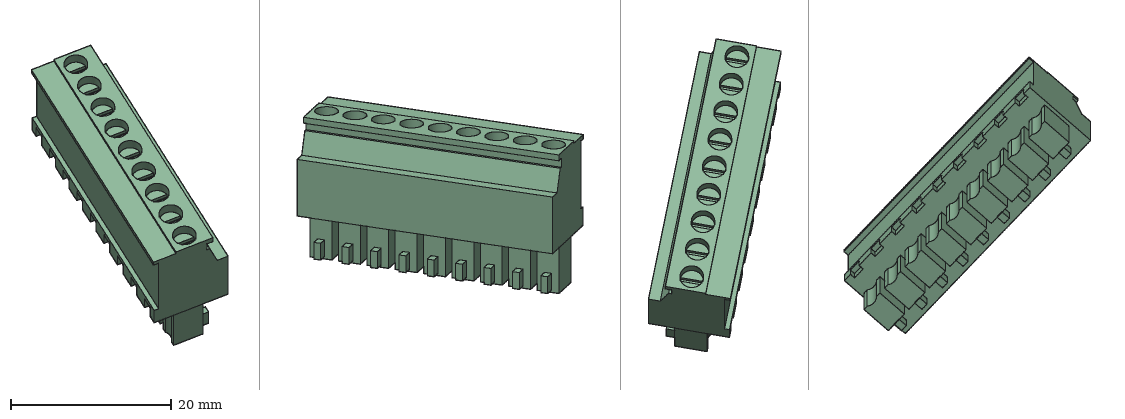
import cadquery as cq

POLE_COUNT = 9
LENGTH = 34.3
PITCH = LENGTH / POLE_COUNT
HEIGHT = 19.1
DEPTH = 10.4
HOUSING_BOTTOM_Z = 6.62

FRONT_WALL_Y = 0.72
BASE_FRONT_Y = 0.1
BASE_TOP_Z = 9.1
FRONT_LIP_BOTTOM_Z = 18.2
FRONT_LIP_TOP_Z = 18.8
TOP_STEP_Y = 3.12
REAR_LIP_Y = 8.25
REAR_LIP_BOTTOM_Z = 18.3
NECK_Y = 7.45
SLOPE_TOP_Y = 7.82
SLOPE_TOP_Z = 17.15
SLOPE_BOTTOM_Y = 8.88
REAR_LEDGE_Z = 14.23

NOTCH_WIDTH = 1.58
NOTCH_HEIGHT = 1.75
NOTCH_DEPTH = 0.7

PLUG_WIDTH = 2.95
PLUG_FRONT_Y = 3.02
PLUG_REAR_Y = 7.13
GROOVE_WIDTH = 1.75
GROOVE_DEPTH = 0.3
KEY_WIDTH = 0.93
KEY_REAR_Y = 8.4
KEY_BOTTOM_Z = 0.3
KEY_TOP_Z = 2.57

SCREW_DIAMETER = 2.95
SCREW_Y = 5.25
SCREW_RECESS = 1.45
SCREW_LENGTH = 2.05
SCREW_SLOT_WIDTH = 0.48
SCREW_SLOT_DEPTH = 0.5

POLE_XS = [(i - (POLE_COUNT - 1) / 2) * PITCH for i in range(POLE_COUNT)]
SCREW_TOP_Z = HEIGHT - SCREW_RECESS
SCREW_BOTTOM_Z = SCREW_TOP_Z - SCREW_LENGTH


def block(x, width, y_range, z_range):
    """Box centred on x along X and spanning the given Y and Z ranges."""
    y0, y1 = y_range
    z0, z1 = z_range
    box = cq.Workplane("XY").box(width, y1 - y0, z1 - z0, centered=(True, False, False))
    return box.translate((x, y0, z0))


def housing_shell():
    """Stepped side profile swept over the full length."""
    profile = [
        (BASE_FRONT_Y, HOUSING_BOTTOM_Z),
        (BASE_FRONT_Y, BASE_TOP_Z),
        (FRONT_WALL_Y, BASE_TOP_Z),
        (FRONT_WALL_Y, FRONT_LIP_BOTTOM_Z),
        (0, FRONT_LIP_BOTTOM_Z),
        (0, FRONT_LIP_TOP_Z),
        (TOP_STEP_Y, FRONT_LIP_TOP_Z),
        (TOP_STEP_Y, HEIGHT),
        (REAR_LIP_Y, HEIGHT),
        (REAR_LIP_Y, REAR_LIP_BOTTOM_Z),
        (NECK_Y, REAR_LIP_BOTTOM_Z),
        (NECK_Y, SLOPE_TOP_Z),
        (SLOPE_TOP_Y, SLOPE_TOP_Z),
        (SLOPE_BOTTOM_Y, REAR_LEDGE_Z),
        (DEPTH, REAR_LEDGE_Z),
        (DEPTH, HOUSING_BOTTOM_Z),
    ]
    return cq.Workplane("YZ").polyline(profile).close().extrude(LENGTH / 2, both=True)


def plug(x):
    """Plug with a shallow round groove down its front and a key on its back."""
    half_groove = GROOVE_WIDTH / 2
    body = (
        cq.Workplane("XY")
        .moveTo(x - PLUG_WIDTH / 2, PLUG_FRONT_Y)
        .lineTo(x - half_groove, PLUG_FRONT_Y)
        .threePointArc((x, PLUG_FRONT_Y + GROOVE_DEPTH), (x + half_groove, PLUG_FRONT_Y))
        .lineTo(x + PLUG_WIDTH / 2, PLUG_FRONT_Y)
        .lineTo(x + PLUG_WIDTH / 2, PLUG_REAR_Y)
        .lineTo(x - PLUG_WIDTH / 2, PLUG_REAR_Y)
        .close()
        .extrude(HOUSING_BOTTOM_Z)
    )
    key = block(x, KEY_WIDTH, (PLUG_REAR_Y, KEY_REAR_Y), (KEY_BOTTOM_Z, KEY_TOP_Z))
    return body.union(key)


def notch(x):
    """Rectangular cut in the lower front edge, open at the front and the bottom."""
    y_range = (BASE_FRONT_Y, BASE_FRONT_Y + NOTCH_DEPTH)
    z_range = (HOUSING_BOTTOM_Z, HOUSING_BOTTOM_Z + NOTCH_HEIGHT)
    return block(x, NOTCH_WIDTH, y_range, z_range)


def screw_cylinder(x, top_z):
    """Cylinder of the screw diameter from the bottom of the screw up to top_z."""
    plane = cq.Workplane("XY", origin=(x, SCREW_Y, SCREW_BOTTOM_Z))
    return plane.circle(SCREW_DIAMETER / 2).extrude(top_z - SCREW_BOTTOM_Z)


def make_housing():
    """Housing with a plug, a notch and a screw well at every pole."""
    housing = housing_shell()
    for x in POLE_XS:
        housing = housing.union(plug(x))
        housing = housing.cut(notch(x))
        housing = housing.cut(screw_cylinder(x, HEIGHT))
    return housing


def make_screw(x):
    """Screw with a straight driver slot running front to back across its top."""
    radius = SCREW_DIAMETER / 2
    y_range = (SCREW_Y - radius, SCREW_Y + radius)
    slot = block(x, SCREW_SLOT_WIDTH, y_range, (SCREW_TOP_Z - SCREW_SLOT_DEPTH, SCREW_TOP_Z))
    return screw_cylinder(x, SCREW_TOP_Z).cut(slot)


housing = make_housing()
screws = [make_screw(x) for x in POLE_XS]

result = cq.Compound.makeCompound([housing.val(), *[screw.val() for screw in screws]])